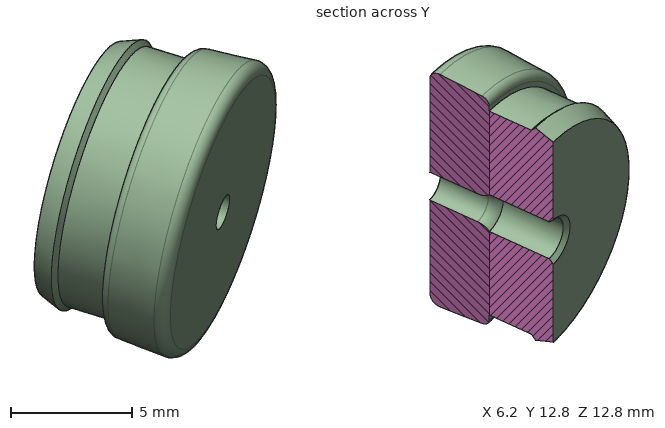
import cadquery as cq
import math

TOTAL_LENGTH = 6.2

PLUG_LENGTH = 3.2
NECK_RADIUS = 5.62
LIP_FRONT_RADIUS = 5.5
LIP_PEAK_RADIUS = 5.85
LIP_PEAK_X = 0.9
LIP_BACK_X = 1.1
PLUG_BORE_RADIUS = 1.0
BORE_CHAMFER = 0.2

CAP_FRONT_RADIUS = 6.23
CAP_BACK_RADIUS = 6.44
CAP_FRONT_FILLET = 0.4
CAP_BACK_FILLET = 0.5
CAP_HOLE_RADIUS = 0.75
FLARE_ANGLE = math.radians(45)
FLARE_ARC_RADIUS = (PLUG_BORE_RADIUS - CAP_HOLE_RADIUS) / (1 - math.cos(FLARE_ANGLE))
FLARE_DEPTH = FLARE_ARC_RADIUS * math.sin(FLARE_ANGLE)


def turn(profile):
    """Revolve a closed XY profile fully about the X axis."""
    return profile.close().revolve(360, (0, 0, 0), (1, 0, 0))


def make_plug():
    """Barbed plug with a countersunk axial bore."""
    profile = (
        cq.Workplane("XY")
        .moveTo(0, PLUG_BORE_RADIUS + BORE_CHAMFER)
        .lineTo(0, LIP_FRONT_RADIUS)
        .lineTo(LIP_PEAK_X, LIP_PEAK_RADIUS)
        .lineTo(LIP_BACK_X, NECK_RADIUS)
        .lineTo(PLUG_LENGTH, NECK_RADIUS)
        .lineTo(PLUG_LENGTH, PLUG_BORE_RADIUS)
        .lineTo(BORE_CHAMFER, PLUG_BORE_RADIUS)
    )
    return turn(profile)


def make_cap():
    """Tapered cap with rounded rims and a rounded, flared hole mouth."""
    profile = (
        cq.Workplane("XY")
        .moveTo(PLUG_LENGTH, PLUG_BORE_RADIUS)
        .lineTo(PLUG_LENGTH, CAP_FRONT_RADIUS)
        .lineTo(TOTAL_LENGTH, CAP_BACK_RADIUS)
        .lineTo(TOTAL_LENGTH, CAP_HOLE_RADIUS)
        .lineTo(PLUG_LENGTH + FLARE_DEPTH, CAP_HOLE_RADIUS)
        .tangentArcPoint((PLUG_LENGTH, PLUG_BORE_RADIUS), relative=False)
    )
    cap = turn(profile)
    largest = cq.selectors.RadiusNthSelector(-1)
    cap = cap.faces("<X").edges(largest).fillet(CAP_FRONT_FILLET)
    return cap.faces(">X").edges(largest).fillet(CAP_BACK_FILLET)


plug = make_plug()
cap = make_cap()
result = cq.Compound.makeCompound([plug.val(), cap.val()])